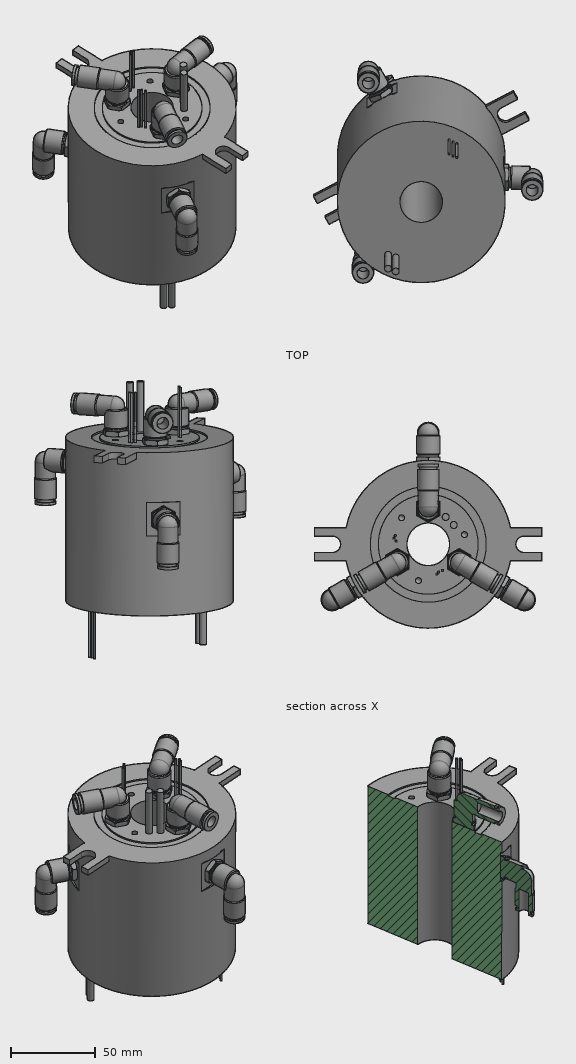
import cadquery as cq
import math

housing_radius = 49.5
housing_height = 98.0
bore_radius = 12.5

groove_inner_radius = 29.4
groove_outer_radius = 34.1
groove_depth = 1.0

tab_span = 134.0
tab_width = 19.6
tab_thickness = 4.0
slot_width = 9.5
slot_end_x = 51.7

screw_hole_diameter = 3.5
screw_hole_depth = 6.3
drill_point_angle = 118
screw_circle_radius = 22.1
screw_angles = [15, 135, 255]

lead_length = 30.0
cable_radius = 2.0
wire_radius = 0.6
top_cables = [(10.3, 16.1), (15.0, 11.4)]
top_wires = [(-19.5, 5.2), (-20.2, 3.6), (-19.0, 1.9), (8.4, -15.3), (6.2, -16.3), (5.0, -17.5)]
bottom_cables = [(29.4, -22.8), (32.5, -19.1)]
bottom_wires = [(-35.4, 21.5), (-34.0, 23.4), (-32.5, 25.6)]

hex_across_flats = 13.9
hex_height = 3.2
hex_chamfer = 0.6
collar_radius = 6.2
collar_height = 1.0
neck_radius = 6.3
neck_height = 0.8
port_radius = 7.0
port_end = 16.0
port_chamfer = 0.6
elbow_axis_height = 17.0
elbow_radius = 6.0
dome_center = 1.0
sleeve_radius = 6.5
sleeve_start = 10.5
sleeve_chamfer = 0.6
sleeve_end = 22.9
release_neck_radius = 5.0
release_start = 24.6
release_end = 26.2
release_radius = 6.2
tube_bore_radius = 3.5

fitting_angles = [90, 210, 330]
top_fitting_radius = 21.0
pad_size = 20.0
pad_distance = 48.3
pad_depths = {90: 18.0, 210: 40.0, 330: 29.0}


def make_tabs():
    slot_length = tab_span / 2 - slot_end_x
    tabs = (
        cq.Workplane("XY", origin=(0, 0, housing_height - tab_thickness))
        .rect(tab_span, tab_width)
        .extrude(tab_thickness)
    )
    for side in (-1, 1):
        tabs = tabs.cut(
            cq.Workplane("XY", origin=(0, 0, housing_height - tab_thickness))
            .center(side * (slot_end_x + slot_length), 0)
            .slot2D(2 * slot_length, slot_width)
            .extrude(tab_thickness)
        )
    return tabs


def make_pad_cut(angle):
    """Block whose inner face leaves a square flat on the housing wall."""
    return (
        cq.Workplane("XY")
        .box(pad_size, pad_size, pad_size)
        .translate((pad_distance + pad_size / 2, 0, housing_height - pad_depths[angle]))
        .rotate((0, 0, 0), (0, 0, 1), angle)
    )


def make_drill():
    """Blind hole with a conical end, hanging below z = 0."""
    radius = screw_hole_diameter / 2
    point_length = radius / math.tan(math.radians(drill_point_angle / 2))
    return (
        cq.Workplane("XZ")
        .lineTo(radius, 0)
        .lineTo(radius, -screw_hole_depth)
        .lineTo(0, -screw_hole_depth - point_length)
        .close()
        .revolve(360, (0, 0, 0), (0, 1, 0))
    )


def make_leads(points, radius, start_z):
    return (
        cq.Workplane("XY", origin=(0, 0, start_z))
        .pushPoints(points)
        .circle(radius)
        .extrude(lead_length)
    )


def make_housing():
    body = cq.Workplane("XY").circle(housing_radius).extrude(housing_height)
    body = body.union(make_tabs())
    body = body.cut(cq.Workplane("XY").circle(bore_radius).extrude(housing_height))
    groove = (
        cq.Workplane("XY", origin=(0, 0, housing_height))
        .circle(groove_outer_radius)
        .circle(groove_inner_radius)
        .extrude(-groove_depth)
    )
    body = body.cut(groove)
    for angle in screw_angles:
        x = screw_circle_radius * math.cos(math.radians(angle))
        y = screw_circle_radius * math.sin(math.radians(angle))
        body = body.cut(make_drill().translate((x, y, housing_height)))
    for angle in fitting_angles:
        body = body.cut(make_pad_cut(angle))
    body = body.union(make_leads(top_cables, cable_radius, housing_height))
    body = body.union(make_leads(top_wires, wire_radius, housing_height))
    body = body.union(make_leads(bottom_cables, cable_radius, -lead_length))
    return body.union(make_leads(bottom_wires, wire_radius, -lead_length))


def make_fitting():
    hex_corner_diameter = hex_across_flats / math.cos(math.radians(30))
    hex_nut = cq.Workplane("XY").polygon(6, hex_corner_diameter).extrude(hex_height)
    rim = cq.Workplane("XY").circle(hex_corner_diameter / 2).extrude(hex_height).edges().chamfer(hex_chamfer)
    hex_nut = hex_nut.intersect(rim)
    neck_start = hex_height + collar_height
    port_start = neck_start + neck_height
    collar = cq.Workplane("XY", origin=(0, 0, hex_height)).circle(collar_radius).extrude(collar_height)
    neck = cq.Workplane("XY", origin=(0, 0, neck_start)).circle(neck_radius).extrude(neck_height)
    port = (
        cq.Workplane("XY", origin=(0, 0, port_start))
        .circle(port_radius)
        .extrude(port_end - port_start)
        .faces(">Z")
        .chamfer(port_chamfer)
    )
    dome_middle = elbow_radius * math.sin(math.radians(45))
    outlet = (
        cq.Workplane("XZ", origin=(0, 0, elbow_axis_height))
        .moveTo(dome_center - elbow_radius, 0)
        .threePointArc((dome_center - dome_middle, dome_middle), (dome_center, elbow_radius))
        .lineTo(sleeve_start, elbow_radius)
        .lineTo(sleeve_start + sleeve_chamfer, sleeve_radius)
        .lineTo(sleeve_end, sleeve_radius)
        .lineTo(sleeve_end, release_neck_radius)
        .lineTo(release_start, release_neck_radius)
        .lineTo(release_start, release_radius)
        .lineTo(release_end, release_radius)
        .lineTo(release_end, tube_bore_radius)
        .lineTo(sleeve_start, tube_bore_radius)
        .lineTo(sleeve_start, 0)
        .close()
        .revolve(360, (0, 0, 0), (1, 0, 0))
    )
    return hex_nut.union(collar).union(neck).union(port).union(outlet)


def make_top_fitting(angle):
    """Port points up, outlet points away from the housing axis."""
    return (
        make_fitting()
        .translate((top_fitting_radius, 0, housing_height))
        .rotate((0, 0, 0), (0, 0, 1), angle)
    )


def make_side_fitting(angle):
    """Port points away from the housing axis, outlet points down."""
    return (
        make_fitting()
        .rotate((0, 0, 0), (0, 1, 0), 90)
        .translate((pad_distance, 0, housing_height - pad_depths[angle]))
        .rotate((0, 0, 0), (0, 0, 1), angle)
    )


housing = make_housing()
top_fittings = [make_top_fitting(angle).val() for angle in fitting_angles]
side_fittings = [make_side_fitting(angle).val() for angle in fitting_angles]

result = cq.Compound.makeCompound([housing.val(), *top_fittings, *side_fittings])